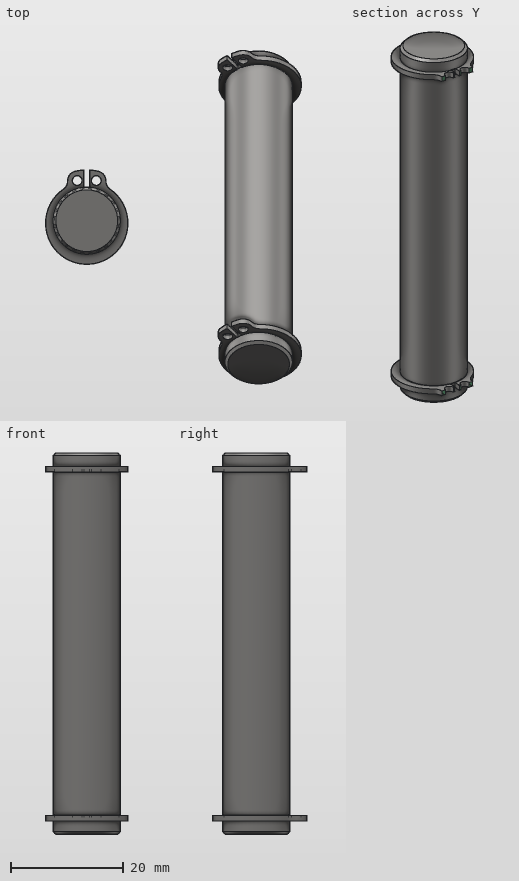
import cadquery as cq
import math

PIN_DIAMETER = 12.0
PIN_LENGTH = 68.0
END_CHAMFER = 0.5

GROOVE_DIAMETER = 11.5
GROOVE_WIDTH = 1.1
END_TO_GROOVE = 2.4

RING_THICKNESS = 1.0
BAND_RADIUS = 7.35
BAND_OFFSET = 0.44
LUG_TIP_RADIUS = 9.49
LUG_CORNER_RADIUS = 1.8
LUG_HALF_WIDTH = 3.43
LUG_ROOT_RADIUS = 1.7
RING_GAP = 1.0
PLIER_HOLE_DIAMETER = 1.7
PLIER_HOLE_X = 1.7
PLIER_HOLE_Y = 7.15


def make_groove(bottom_z):
    """Annular cutter that takes the pin down to the groove diameter."""
    return (
        cq.Workplane("XY", origin=(0, 0, bottom_z))
        .circle(PIN_DIAMETER)
        .circle(GROOVE_DIAMETER / 2)
        .extrude(GROOVE_WIDTH)
    )


def make_pin():
    half_length = PIN_LENGTH / 2
    shaft = (
        cq.Workplane("XY", origin=(0, 0, -half_length))
        .circle(PIN_DIAMETER / 2)
        .extrude(PIN_LENGTH)
        .faces("<Z or >Z")
        .chamfer(END_CHAMFER)
    )
    lower_groove_z = -half_length + END_TO_GROOVE
    upper_groove_z = half_length - END_TO_GROOVE - GROOVE_WIDTH
    for bottom_z in (lower_groove_z, upper_groove_z):
        shaft = shaft.cut(make_groove(bottom_z))
    return shaft


def make_ring(bottom_z):
    """Ring seated on the groove diameter, its flat lower face at bottom_z."""
    root_x = LUG_HALF_WIDTH + LUG_ROOT_RADIUS
    root_distance = BAND_RADIUS + LUG_ROOT_RADIUS
    root_angle = math.acos(root_x / root_distance)
    root_y = root_distance * math.sin(root_angle) - BAND_OFFSET
    band_end_x = BAND_RADIUS * math.cos(root_angle)
    band_end_y = BAND_RADIUS * math.sin(root_angle) - BAND_OFFSET
    root_middle_x = root_x - LUG_ROOT_RADIUS * math.cos(root_angle / 2)
    root_middle_y = root_y - LUG_ROOT_RADIUS * math.sin(root_angle / 2)
    lug_corner_y = math.sqrt(LUG_TIP_RADIUS**2 - LUG_HALF_WIDTH**2) - BAND_OFFSET

    blank = (
        cq.Workplane("XY", origin=(0, 0, bottom_z))
        .moveTo(band_end_x, band_end_y)
        .threePointArc((root_middle_x, root_middle_y), (LUG_HALF_WIDTH, root_y))
        .lineTo(LUG_HALF_WIDTH, lug_corner_y)
        .threePointArc((0, LUG_TIP_RADIUS - BAND_OFFSET), (-LUG_HALF_WIDTH, lug_corner_y))
        .lineTo(-LUG_HALF_WIDTH, root_y)
        .threePointArc((-root_middle_x, root_middle_y), (-band_end_x, band_end_y))
        .threePointArc((0, -BAND_RADIUS - BAND_OFFSET), (band_end_x, band_end_y))
        .close()
        .extrude(RING_THICKNESS)
    )
    blank = blank.edges("|Z").edges(">Y").fillet(LUG_CORNER_RADIUS)

    bore = (
        cq.Workplane("XY", origin=(0, 0, bottom_z))
        .circle(GROOVE_DIAMETER / 2)
        .extrude(RING_THICKNESS)
    )
    gap = cq.Workplane("XY").box(
        RING_GAP, LUG_TIP_RADIUS, RING_THICKNESS, centered=(True, False, False)
    ).translate((0, 0, bottom_z))
    plier_holes = (
        cq.Workplane("XY", origin=(0, 0, bottom_z))
        .pushPoints([(-PLIER_HOLE_X, PLIER_HOLE_Y), (PLIER_HOLE_X, PLIER_HOLE_Y)])
        .circle(PLIER_HOLE_DIAMETER / 2)
        .extrude(RING_THICKNESS)
    )
    return blank.cut(bore).cut(gap).cut(plier_holes)


pin = make_pin()

ring_outer_face = PIN_LENGTH / 2 - END_TO_GROOVE
ring_bottoms = (-ring_outer_face, ring_outer_face - RING_THICKNESS)
rings = [make_ring(bottom_z) for bottom_z in ring_bottoms]

result = cq.Compound.makeCompound([pin.val(), *[ring.val() for ring in rings]])